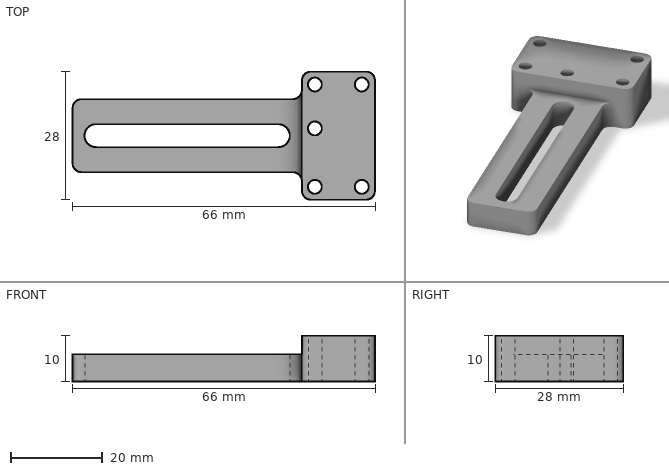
import cadquery as cq

total_length = 66.0
head_length = 16.0
head_width = 28.0
head_height = 10.0
arm_width = 16.0
arm_height = 6.0
corner_radius = 2.0

slot_length = 44.75
slot_width = 4.95
slot_end_gap = 2.65

hole_diameter = 3.0
hole_edge_gap = 2.9
hole_spacing_x = 10.2
hole_spacing_y = 22.3
middle_hole_y = 1.6

head_start = total_length - head_length
far_hole_x = total_length - hole_edge_gap
near_hole_x = far_hole_x - hole_spacing_x


def block(x_start, x_end, width, height):
    """Block on the base plane, centred across Y."""
    length = x_end - x_start
    return (
        cq.Workplane("XY")
        .box(length, width, height, centered=(False, True, False))
        .translate((x_start, 0, 0))
    )


def make_head():
    head = block(head_start, total_length, head_width, head_height)
    return head.edges("|Z").fillet(corner_radius)


def make_arm():
    arm = block(0, head_start, arm_width, arm_height)
    return arm.edges("|Z and <X").fillet(corner_radius)


def make_inside_corner(side):
    """Concave fillet between the arm's side wall and the head."""
    wall_y = side * arm_width / 2
    outer_y = wall_y + side * corner_radius
    fillet_start = head_start - corner_radius
    blank = (
        cq.Workplane("XY")
        .moveTo(fillet_start, wall_y)
        .lineTo(head_start, wall_y)
        .lineTo(head_start, outer_y)
        .lineTo(fillet_start, outer_y)
        .close()
        .extrude(arm_height)
    )
    round_cut = (
        cq.Workplane("XY")
        .center(fillet_start, outer_y)
        .circle(corner_radius)
        .extrude(arm_height)
    )
    return blank.cut(round_cut)


def make_slot():
    return (
        cq.Workplane("XY")
        .center(slot_end_gap + slot_length / 2, 0)
        .slot2D(slot_length, slot_width)
        .extrude(arm_height)
    )


def make_holes():
    centres = [(near_hole_x, middle_hole_y)]
    for x in (near_hole_x, far_hole_x):
        for y in (-hole_spacing_y / 2, hole_spacing_y / 2):
            centres.append((x, y))
    return (
        cq.Workplane("XY")
        .pushPoints(centres)
        .circle(hole_diameter / 2)
        .extrude(head_height)
    )


body = make_head().union(make_arm())
for side in (-1, 1):
    body = body.union(make_inside_corner(side))

result = body.cut(make_slot()).cut(make_holes())